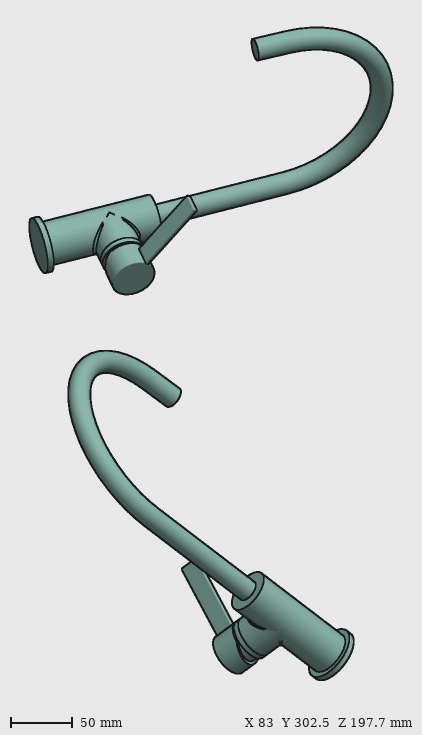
import cadquery as cq
import math


base_radius = 23.0
base_thickness = 5.0
column_radius = 18.2
column_top = 99.0

arm_y = 60.5
arm_end = 31.0
bevel_setback = 2.0

ring_end = 35.7
neck_radius = 15.7
neck_end = 46.0

knob_start = 37.2
knob_end = 60.0
knob_edge_fillet = 1.0
relief_depth = 8.0
lever_start = 42.7
lever_width = knob_end - lever_start
lever_thickness = 4.2
lever_reach = 82.0
lever_fillet = 1.2
lever_tilt = 40.5

spout_radius = 9.0
bend_start = 211.0
spout_length_y = 302.5
bend_radius = spout_length_y - bend_start - spout_radius
bend_sweep = 178.5
outlet_length = 27.8


def cylinder_y(radius, start, end):
    """Cylinder on the main axis between two Y positions."""
    return cq.Workplane(cq.Solid.makeCylinder(
        radius, end - start, cq.Vector(0, start, 0), cq.Vector(0, 1, 0)))


def cylinder_x(radius, start, end):
    """Cylinder on the arm axis between two X positions."""
    return cq.Workplane(cq.Solid.makeCylinder(
        radius, end - start, cq.Vector(start, arm_y, 0), cq.Vector(1, 0, 0)))


def make_base():
    return cylinder_y(base_radius, 0, base_thickness)


def make_arm_bevel():
    """Bevel in the upper corner of column and arm, fading out at the top and bottom.

    It is a prism of elliptic section, running square to the mitre line and
    trimmed by two planes through the point where the axes cross.
    """
    setback_edge = column_radius + bevel_setback
    mitre_half_width = (column_radius + setback_edge) / math.sqrt(2)
    section_plane = cq.Plane(origin=(0, arm_y, 0), xDir=(1, 1, 0), normal=(1, -1, 0))
    prism = (
        cq.Workplane(section_plane)
        .ellipse(mitre_half_width, column_radius)
        .extrude(column_radius, both=True)
    )
    wedge = (
        cq.Workplane("XY", origin=(0, arm_y, 0))
        .polyline([(0, 0), (2 * setback_edge, 2 * column_radius), (2 * column_radius, 2 * setback_edge)])
        .close()
        .extrude(column_radius * 2, both=True)
    )
    return prism.intersect(wedge)


def make_housing():
    """Column and side arm, bevelled in both corners where they meet."""
    column = cylinder_y(column_radius, base_thickness, column_top)
    arm = cylinder_x(column_radius, 0, arm_end)
    upper_bevel = make_arm_bevel()
    lower_bevel = upper_bevel.mirror("XZ", (0, arm_y, 0))
    return column.union(arm).union(upper_bevel).union(lower_bevel)


def make_spout():
    """Straight riser, round bend and short straight outlet."""
    sweep = math.radians(bend_sweep)

    def bend_point(angle):
        return (bend_start + bend_radius * math.sin(angle),
                bend_radius * (1 - math.cos(angle)))

    bend_end = bend_point(sweep)
    outlet_end = (bend_end[0] + outlet_length * math.cos(sweep),
                  bend_end[1] + outlet_length * math.sin(sweep))
    path = (
        cq.Workplane("YZ")
        .moveTo(column_top, 0)
        .lineTo(bend_start, 0)
        .threePointArc(bend_point(sweep / 2), bend_end)
        .lineTo(*outlet_end)
    )
    profile = cq.Workplane("XZ", origin=(0, column_top, 0)).circle(spout_radius)
    return profile.sweep(path)


def make_swivel_ring():
    """Ring flush with the arm, with a neck that enters the handle."""
    ring = cylinder_x(column_radius, arm_end, ring_end)
    return ring.union(cylinder_x(neck_radius, ring_end, neck_end))


def tilt_to_lever(upright):
    """Turn an upright shape about the arm axis to the lever direction."""
    return upright.rotate((0, arm_y, 0), (1, arm_y, 0), -lever_tilt)


def make_lever():
    lever = (
        cq.Workplane("XY", origin=(lever_start + lever_width / 2, arm_y, 0))
        .rect(lever_width, lever_thickness)
        .extrude(lever_reach)
        .edges("|Z or >Z")
        .fillet(lever_fillet)
    )
    return tilt_to_lever(lever)


def make_knob_relief():
    """Wedge that clears the inner knob face on the side away from the lever."""
    wedge = (
        cq.Workplane("XZ", origin=(0, arm_y, 0))
        .polyline([
            (knob_start, 0),
            (knob_start + relief_depth, -column_radius),
            (knob_start, -column_radius),
        ])
        .close()
        .extrude(column_radius, both=True)
    )
    return tilt_to_lever(wedge)


def make_handle():
    """Knob and lever in one piece, with a blind socket for the neck."""
    knob = cylinder_x(column_radius, knob_start, knob_end).faces(">X").edges().fillet(knob_edge_fillet)
    socket = cylinder_x(neck_radius, knob_start, neck_end)
    return knob.cut(make_knob_relief()).union(make_lever()).cut(socket)


base = make_base()
housing = make_housing()
spout = make_spout()
swivel_ring = make_swivel_ring()
handle = make_handle()

result = cq.Compound.makeCompound([
    base.val(),
    housing.val(),
    spout.val(),
    swivel_ring.val(),
    handle.val(),
])